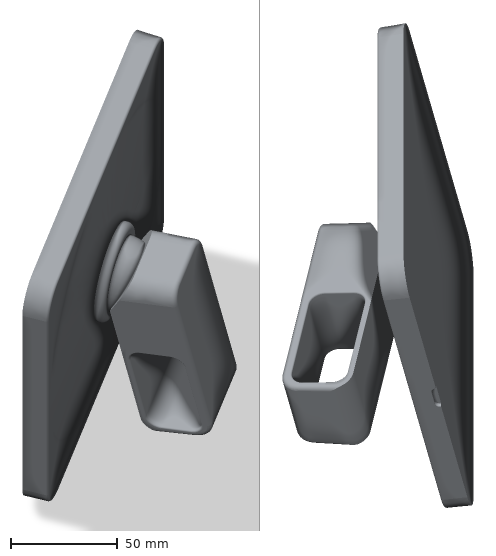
import cadquery as cq
import math

DRAFT = 2.0

PLATE_SIDE = 170.0
PLATE_CORNER_RADIUS = 15.0
PLATE_THICKNESS = 12.7
PLATE_BACK_FILLET = 1.2
DOME_HEIGHT = 2.3
DOME_RIM_RADIUS = 82.8

NOTCH_WIDTH = 12.7
NOTCH_HEIGHT = 2.1
NOTCH_DEPTH = 2.6
NOTCH_CORNER_RADIUS = 2.5

FLANGE_RADIUS = 24.5
FLANGE_END_X = 19.5
FLANGE_FILLET = 3.0
NECK_END_X = 20.8
BALL_RADIUS = 18.8
BALL_CENTER_X = 18.8

HANDLE_TILT = 10.8
HEEL_X = 21.5
HEEL_Z = -2.1
HANDLE_THICKNESS = 35.0
HANDLE_WIDTH = 41.3
HANDLE_TOP = 19.5
HANDLE_BOTTOM = -90.9
HANDLE_TOP_RADIUS = 10.1
HANDLE_BOTTOM_RADIUS = 9.8
HANDLE_OUTER_FILLET = 2.1
BEVEL_ANGLE = 34.0

WINDOW_INNER = 3.0
WINDOW_OUTER = 30.3
WINDOW_TOP = -30.2
WINDOW_BOTTOM = -86.2
WINDOW_RADIUS = 6.6
WINDOW_EDGE_FILLET = 0.7
WINDOW_MARGIN = 0.2


def make_plate():
    slab = (
        cq.Workplane("YZ")
        .sketch()
        .rect(PLATE_SIDE, PLATE_SIDE)
        .vertices()
        .fillet(PLATE_CORNER_RADIUS)
        .finalize()
        .extrude(PLATE_THICKNESS, taper=DRAFT)
        .faces(">X")
        .edges()
        .fillet(PLATE_BACK_FILLET)
    )
    return slab.union(make_dome()).cut(make_notch())


def make_dome():
    sphere_radius = (DOME_RIM_RADIUS**2 + DOME_HEIGHT**2) / (2 * DOME_HEIGHT)
    crown_x = PLATE_THICKNESS + DOME_HEIGHT
    return (
        cq.Workplane("XY")
        .moveTo(PLATE_THICKNESS, 0)
        .lineTo(PLATE_THICKNESS, DOME_RIM_RADIUS)
        .radiusArc((crown_x, 0), sphere_radius)
        .close()
        .revolve(360, (0, 0, 0), (1, 0, 0))
    )


def make_notch():
    block_height = 2 * NOTCH_HEIGHT
    return (
        cq.Workplane("XY")
        .box(NOTCH_DEPTH, NOTCH_WIDTH, block_height, centered=(False, True, True))
        .edges("|Z and >X")
        .fillet(NOTCH_CORNER_RADIUS)
        .translate((0, 0, -PLATE_SIDE / 2))
    )


def make_mount(plate):
    neck_radius = math.sqrt(BALL_RADIUS**2 - (NECK_END_X - BALL_CENTER_X) ** 2)
    arc_middle = BALL_RADIUS * math.sqrt(0.5)
    solid = (
        cq.Workplane("XY")
        .moveTo(PLATE_THICKNESS, 0)
        .lineTo(PLATE_THICKNESS, FLANGE_RADIUS)
        .lineTo(FLANGE_END_X - FLANGE_FILLET, FLANGE_RADIUS)
        .radiusArc((FLANGE_END_X, FLANGE_RADIUS - FLANGE_FILLET), FLANGE_FILLET)
        .lineTo(FLANGE_END_X, neck_radius)
        .lineTo(NECK_END_X, neck_radius)
        .threePointArc((BALL_CENTER_X + arc_middle, arc_middle), (BALL_CENTER_X + BALL_RADIUS, 0))
        .close()
        .revolve(360, (0, 0, 0), (1, 0, 0))
    )
    return solid.cut(plate)


def make_handle_blank():
    height = HANDLE_TOP - HANDLE_BOTTOM
    block = (
        cq.Workplane("YZ")
        .center(0, (HANDLE_TOP + HANDLE_BOTTOM) / 2)
        .sketch()
        .rect(HANDLE_WIDTH, height)
        .vertices(">Y")
        .fillet(HANDLE_TOP_RADIUS)
        .finalize()
        .extrude(HANDLE_THICKNESS, taper=DRAFT)
    )
    block = block.faces("<Z").edges("|Y and >X").fillet(HANDLE_BOTTOM_RADIUS)
    block = block.faces(">X").edges().fillet(HANDLE_OUTER_FILLET)
    return block.cut(make_inner_corner_cut())


def make_inner_corner_cut():
    radius = HANDLE_BOTTOM_RADIUS
    draft = math.radians(DRAFT)
    center_z = HANDLE_BOTTOM + radius * math.tan(draft) + radius / math.cos(draft)
    arc_end_x = radius + radius * math.sin(draft)
    arc_end_z = center_z - radius * math.cos(draft)
    return (
        cq.Workplane("XZ")
        .moveTo(0, center_z)
        .radiusArc((arc_end_x, arc_end_z), -radius)
        .lineTo(arc_end_x, HANDLE_BOTTOM - radius)
        .lineTo(-radius, HANDLE_BOTTOM - radius)
        .lineTo(-radius, center_z)
        .close()
        .extrude(HANDLE_WIDTH, both=True)
    )


def make_bevel_cut():
    bevel_depth = HANDLE_THICKNESS
    bevel_height = bevel_depth / math.tan(math.radians(BEVEL_ANGLE))
    return (
        cq.Workplane("XZ")
        .polyline([(0, 0), (bevel_depth, bevel_height), (0, bevel_height)])
        .close()
        .extrude(HANDLE_WIDTH, both=True)
    )


def cut_window(handle):
    window = (
        cq.Workplane("XZ")
        .center((WINDOW_INNER + WINDOW_OUTER) / 2, (WINDOW_TOP + WINDOW_BOTTOM) / 2)
        .rect(WINDOW_OUTER - WINDOW_INNER, WINDOW_TOP - WINDOW_BOTTOM)
        .extrude(HANDLE_WIDTH, both=True)
        .edges("|Y")
        .fillet(WINDOW_RADIUS)
    )
    inside_window = cq.selectors.BoxSelector(
        (WINDOW_INNER - WINDOW_MARGIN, -HANDLE_WIDTH, WINDOW_BOTTOM - WINDOW_MARGIN),
        (WINDOW_OUTER + WINDOW_MARGIN, HANDLE_WIDTH, WINDOW_TOP + WINDOW_MARGIN),
        boundingbox=True,
    )
    return handle.cut(window).edges(inside_window).edges("not |Y").fillet(WINDOW_EDGE_FILLET)


def make_handle(mount):
    blank = make_handle_blank().cut(make_bevel_cut())
    handle = cut_window(blank)
    placed = handle.rotate((0, 0, 0), (0, 1, 0), -HANDLE_TILT).translate((HEEL_X, 0, HEEL_Z))
    return placed.cut(mount)


plate = make_plate()
mount = make_mount(plate)
handle = make_handle(mount)

result = cq.Compound.makeCompound([plate.solids().val(), mount.solids().val(), handle.solids().val()])